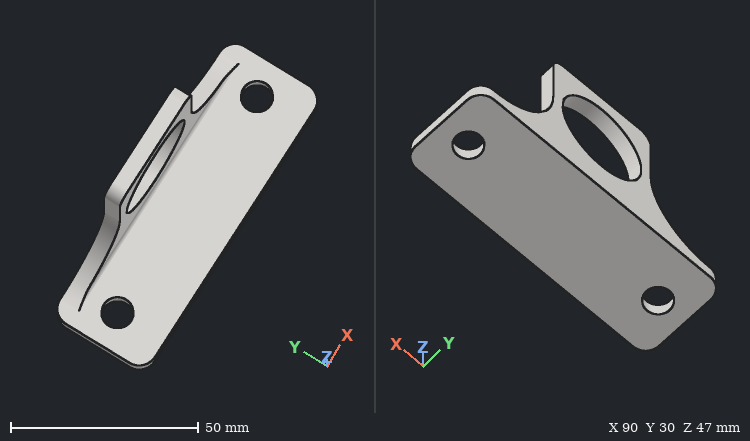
import cadquery as cq

length = 90.0
depth = 30.0
thickness = 5.0
corner_radius = 5.0
screw_hole_diameter = 8.5
screw_hole_spacing = 70.0

height = 47.0
neck_width = 36.0
top_corner_radius = 4.05
bore_diameter = 29.0
bore_height = 26.1
inner_fillet_radius = 1.0

back_y = depth / 2
front_of_upright = back_y - thickness
neck_x = neck_width / 2
foot_x = length / 2 - corner_radius
flare_radius = foot_x - neck_x
flare_top = thickness + flare_radius


def make_base():
    plate = cq.Workplane("XY").box(length, depth, thickness, centered=(True, True, False))
    plate = plate.edges("|Z").fillet(corner_radius)
    half_spacing = screw_hole_spacing / 2
    return (
        plate.faces(">Z").workplane(origin=(0, 0, thickness))
        .pushPoints([(-half_spacing, 0), (half_spacing, 0)])
        .hole(screw_hole_diameter)
    )


def make_bracket_body():
    """L-shaped section along X, with a rounded inner corner."""
    fillet_front = front_of_upright - inner_fillet_radius
    fillet_top = thickness + inner_fillet_radius
    return (
        cq.Workplane("YZ", origin=(-foot_x, 0, 0))
        .moveTo(back_y, thickness)
        .lineTo(fillet_front, thickness)
        .radiusArc((front_of_upright, fillet_top), -inner_fillet_radius)
        .lineTo(front_of_upright, height)
        .lineTo(back_y, height)
        .close()
        .extrude(2 * foot_x)
    )


def make_upright_outline():
    """Neck with rounded top corners, flaring tangentially into the base."""
    profile = (
        cq.Workplane("XZ")
        .moveTo(-foot_x, thickness)
        .radiusArc((-neck_x, flare_top), -flare_radius)
        .lineTo(-neck_x, height - top_corner_radius)
        .radiusArc((-neck_x + top_corner_radius, height), top_corner_radius)
        .lineTo(neck_x - top_corner_radius, height)
        .radiusArc((neck_x, height - top_corner_radius), top_corner_radius)
        .lineTo(neck_x, flare_top)
        .radiusArc((foot_x, thickness), -flare_radius)
        .close()
        .extrude(depth, both=True)
    )
    bore = (
        cq.Workplane("XZ")
        .center(0, bore_height)
        .circle(bore_diameter / 2)
        .extrude(depth, both=True)
    )
    return profile.cut(bore)


upright = make_bracket_body().intersect(make_upright_outline())
result = make_base().union(upright)